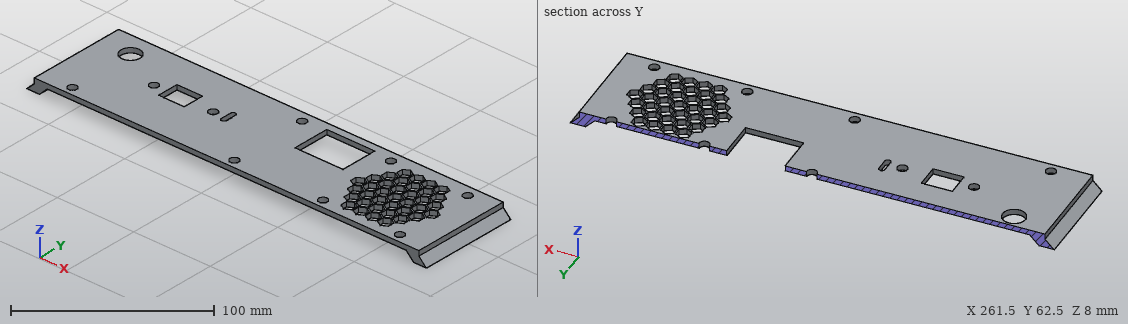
import cadquery as cq
import math

length = 261.5
width = 62.5
height = 8.0
thickness = 3.1

lip_drop = height - thickness
lip_foot = 8.5
plate_half = length / 2 - lip_drop

screw_diameter = 5.5
screw_row_offset = 25.0
center_row_y = -0.65
fan_x = 83.5
fan_screw_offset = 25.0
middle_screw_x = 0.3
corner_x = -105.7

cable_diameter = 12.3
cable_y = 17.3

socket_x = -60.7
socket_length = 16.7
socket_width = 13.5
socket_y = 3.5
socket_screw_spacing = 38.7
socket_screw_x = -57.8
socket_screw_y = 2.4

slot_x = -29.5
slot_y = 3.7
slot_length = 10.0
slot_width = 3.1

window_x = 30.3
window_y = 14.6
window_length = 31.5
window_width = 23.5

hex_across_flats = 7.0
hex_wall = 0.92
hex_pitch = hex_across_flats + hex_wall
grille_rings = 3


def make_panel():
    """Flat plate with an angled lip on each short end, extruded along Y."""
    foot_inner = length / 2 - lip_foot
    right_half = [
        (plate_half, height),
        (plate_half, lip_drop),
        (length / 2, 0),
        (foot_inner, 0),
        (foot_inner - lip_drop, lip_drop),
    ]
    left_half = [(-x, z) for x, z in reversed(right_half)]
    profile = cq.Workplane("XZ").polyline(right_half + left_half).close()
    return profile.extrude(width / 2, both=True)


def round_cutter(points, diameter):
    """Through cylinders at the given points."""
    return cq.Workplane("XY").pushPoints(points).circle(diameter / 2).extrude(height)


def box_cutter(x, y, size_x, size_y):
    """Rectangular through opening centered at x, y."""
    return cq.Workplane("XY").center(x, y).rect(size_x, size_y).extrude(height)


def slot_cutter():
    """Round-ended slot running along Y."""
    sketch = cq.Workplane("XY").center(slot_x, slot_y)
    return sketch.slot2D(slot_length, slot_width, 90).extrude(height)


def grille_cutter():
    """Hexagonal cells with corners along Y, packed in a larger hexagon."""
    row_pitch = hex_pitch * math.sin(math.radians(60))
    centers = []
    for row in range(-grille_rings, grille_rings + 1):
        cells = 2 * grille_rings + 1 - abs(row)
        for cell in range(cells):
            x = fan_x + (cell - (cells - 1) / 2) * hex_pitch
            centers.append((x, center_row_y + row * row_pitch))
    plane = cq.Plane(origin=(0, 0, 0), xDir=(0, 1, 0), normal=(0, 0, 1))
    turned_centers = [(y, -x) for x, y in centers]
    corner_diameter = hex_across_flats / math.cos(math.radians(30))
    return cq.Workplane(plane).pushPoints(turned_centers).polygon(6, corner_diameter).extrude(height)


paired_screw_x = [middle_screw_x, fan_x - fan_screw_offset, fan_x + fan_screw_offset]
screw_points = [(x, center_row_y + side * screw_row_offset) for x in paired_screw_x for side in (-1, 1)]
screw_points.append((corner_x, center_row_y - screw_row_offset))
for side in (-1, 1):
    screw_points.append((socket_screw_x + side * socket_screw_spacing / 2, socket_screw_y))

result = (
    make_panel()
    .cut(round_cutter(screw_points, screw_diameter))
    .cut(round_cutter([(corner_x, cable_y)], cable_diameter))
    .cut(box_cutter(socket_x, socket_y, socket_length, socket_width))
    .cut(slot_cutter())
    .cut(box_cutter(window_x, window_y, window_length, window_width))
    .cut(grille_cutter())
)